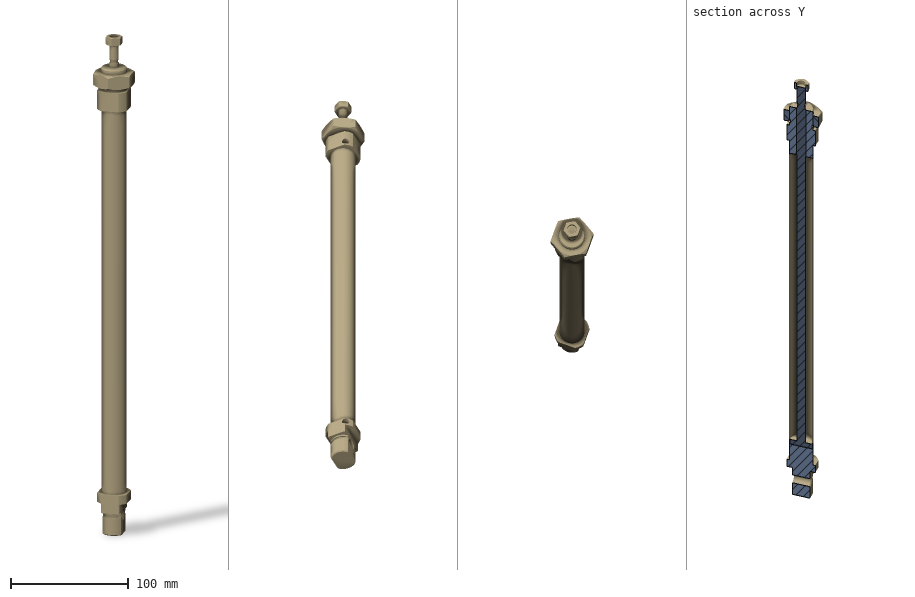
import cadquery as cq
import math

TOTAL_HEIGHT = 439.7

THREAD_DIA = 22.0
RELIEF_DIA = 20.2
RELIEF_WIDTH = 2.5
CAP_WIDTH = 26.0
CAP_CORNER_DIA = 30.0

TAIL_CHAMFER = 1.0
REAR_RELIEF_BOTTOM = 16.0
REAR_CAP_BOTTOM = 20.2
TANG_TOP = 28.5
REAR_CAP_TOP = 36.5
TANG_WIDTH = 16.3
PIVOT_DIA = 8.0
PIVOT_HEIGHT = 16.5
PIVOT_CHAMFER = 1.0

BARREL_DIA = 21.5
BORE_DIA = 20.2
BORE_BOTTOM = 53.5
BORE_TOP = 362.8

FRONT_CAP_BOTTOM = 376.5
FRONT_CAP_TOP = 393.0
FRONT_RELIEF_BOTTOM = 395.8
NOSE_TOP = 413.0
NOSE_CHAMFER_HEIGHT = 1.5
NOSE_CHAMFER_WIDTH = 1.0

SCREW_HOLE_DIA = 6.0
SCREW_HOLE_DEPTH = 5.0
SCREW_HOLE_ANGLE = 35.0
FRONT_SCREW_HEIGHT = 381.0
REAR_SCREW_HEIGHT = 33.0

NUT_WIDTH = 32.0
NUT_BOTTOM = 396.5
NUT_HEIGHT = 12.0

PISTON_THICKNESS = 5.0
ROD_DIA = 8.5
ROD_FLAT_WIDTH = 7.5
ROD_FLAT_BOTTOM = 414.0
ROD_SHOULDER = 416.5
ROD_THREAD_DIA = 8.0
ROD_NECK_DIA = 6.5
ROD_NECK_TOP = 417.5
ROD_THREAD_START = 420.0
ROD_TOP = 436.0
ROD_CHAMFER = 0.65

ROD_NUT_WIDTH = 12.8
ROD_NUT_HEIGHT = 7.0


def cylinder(diameter, bottom, top):
    return cq.Workplane("XY").workplane(offset=bottom).circle(diameter / 2).extrude(top - bottom)


def cone(bottom_dia, top_dia, bottom, top):
    solid = cq.Solid.makeCone(bottom_dia / 2, top_dia / 2, top - bottom, pnt=cq.Vector(0, 0, bottom))
    return cq.Workplane("XY").add(solid)


def square_cap(bottom, top):
    square = cq.Workplane("XY").workplane(offset=bottom).rect(CAP_WIDTH, CAP_WIDTH).extrude(top - bottom)
    return square.intersect(cylinder(CAP_CORNER_DIA, bottom, top))


def hex_nut(width, bottom, height, hole_dia):
    """Hexagon with corners on the Y axis, chamfered corners and a round hole."""
    corner_dia = width / math.cos(math.pi / 6)
    blank = (
        cq.Workplane("XY").workplane(offset=bottom)
        .transformed(rotate=(0, 0, 90)).polygon(6, corner_dia).extrude(height)
    )
    chamfer_run = (corner_dia - width) / 2
    chamfer_drop = chamfer_run * math.tan(math.pi / 6)
    envelope = cylinder(corner_dia, bottom, bottom + height)
    envelope = envelope.faces("<Z or >Z").edges().chamfer(chamfer_drop, chamfer_run)
    return blank.intersect(envelope).cut(cylinder(hole_dia, bottom, bottom + height))


def relief_groove(bottom):
    top = bottom + RELIEF_WIDTH
    return cylinder(THREAD_DIA, bottom, top).cut(cylinder(RELIEF_DIA, bottom, top))


def pivot_hole():
    hole = cq.Workplane("YZ").circle(PIVOT_DIA / 2).extrude(TANG_WIDTH / 2, both=True)
    mouth = cq.Workplane("YZ", origin=(-TANG_WIDTH / 2, 0, 0)).circle(PIVOT_DIA / 2 + PIVOT_CHAMFER)
    countersink = mouth.extrude(PIVOT_CHAMFER, taper=45)
    return hole.union(countersink).union(countersink.mirror("YZ")).translate((0, 0, PIVOT_HEIGHT))


def screw_hole(height):
    plane = cq.Workplane("XZ", origin=(0, CAP_CORNER_DIA / 2, height))
    hole = plane.circle(SCREW_HOLE_DIA / 2).extrude(SCREW_HOLE_DEPTH)
    return hole.rotate((0, 0, 0), (0, 0, 1), SCREW_HOLE_ANGLE)


def make_rear_end():
    tail = cylinder(THREAD_DIA, 0, REAR_CAP_BOTTOM).faces("<Z").edges().chamfer(TAIL_CHAMFER)
    tail = tail.cut(relief_groove(REAR_RELIEF_BOTTOM))
    tang_cut = (
        cq.Workplane("XY").rect(2 * CAP_WIDTH, 2 * CAP_WIDTH).rect(TANG_WIDTH, 2 * CAP_WIDTH)
        .extrude(TANG_TOP)
    )
    return square_cap(REAR_CAP_BOTTOM, REAR_CAP_TOP).union(tail).cut(tang_cut).cut(pivot_hole())


def make_front_end():
    nose = cylinder(THREAD_DIA, FRONT_CAP_TOP, NOSE_TOP)
    nose = nose.faces(">Z").edges().chamfer(NOSE_CHAMFER_HEIGHT, NOSE_CHAMFER_WIDTH)
    nose = nose.cut(relief_groove(FRONT_RELIEF_BOTTOM))
    return square_cap(FRONT_CAP_BOTTOM, FRONT_CAP_TOP).union(nose)


def make_housing():
    barrel = cylinder(BARREL_DIA, REAR_CAP_TOP, FRONT_CAP_BOTTOM)
    housing = make_rear_end().union(barrel).union(make_front_end())
    housing = housing.cut(cylinder(BORE_DIA, BORE_BOTTOM, BORE_TOP))
    housing = housing.cut(cylinder(ROD_DIA, BORE_TOP, NOSE_TOP))
    for height in (REAR_SCREW_HEIGHT, FRONT_SCREW_HEIGHT):
        housing = housing.cut(screw_hole(height))
    return housing


def make_rod():
    piston_top = BORE_BOTTOM + PISTON_THICKNESS
    piston = cylinder(BORE_DIA, BORE_BOTTOM, piston_top)
    flats = (
        cq.Workplane("XY").workplane(offset=ROD_FLAT_BOTTOM)
        .rect(2 * ROD_DIA, 2 * ROD_DIA).rect(ROD_FLAT_WIDTH, 2 * ROD_DIA)
        .extrude(ROD_SHOULDER - ROD_FLAT_BOTTOM)
    )
    shank = cylinder(ROD_DIA, piston_top, ROD_SHOULDER).cut(flats)
    thread = cylinder(ROD_THREAD_DIA, ROD_THREAD_START, ROD_TOP).faces(">Z").edges().chamfer(ROD_CHAMFER)
    return (
        piston.union(shank)
        .union(cylinder(ROD_NECK_DIA, ROD_SHOULDER, ROD_NECK_TOP))
        .union(cone(ROD_NECK_DIA, ROD_THREAD_DIA, ROD_NECK_TOP, ROD_THREAD_START))
        .union(thread)
    )


housing = make_housing()
mounting_nut = hex_nut(NUT_WIDTH, NUT_BOTTOM, NUT_HEIGHT, THREAD_DIA)
rod = make_rod()
rod_nut = hex_nut(ROD_NUT_WIDTH, TOTAL_HEIGHT - ROD_NUT_HEIGHT, ROD_NUT_HEIGHT, ROD_THREAD_DIA)

result = cq.Compound.makeCompound([housing.val(), mounting_nut.val(), rod.val(), rod_nut.val()])